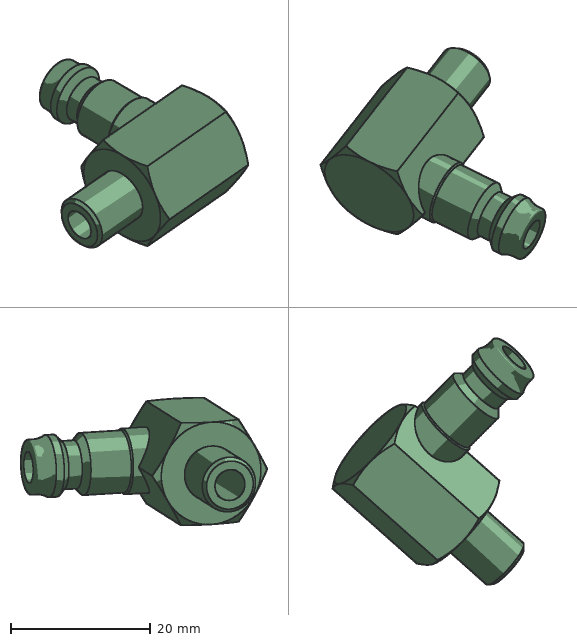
import cadquery as cq
import math


overall_length = 32.4
across_flats = 15.0
body_length = 18.0
body_back = 6.0
body_front = body_back - body_length
corner_radius = across_flats / math.sqrt(3)
end_bevel_angle = 30.0

stub_radius = 8.0 / 2
stub_length = 9.0
stub_chamfer = 0.5
bore_radius = 4.5 / 2

tip_radius = 8.0 / 2
plug_radius = 4.5
groove_radius = 3.5
collar_radius = 9.5 / 2

tip_rounding = 0.3
tip_land_end = 1.0
bulge_start = 2.8
bulge_end = 4.0
groove_start = 5.0
groove_end = 7.0
plug_start = 8.0
collar_start = 14.05
collar_chamfer = collar_radius - plug_radius
nipple_length = overall_length - corner_radius


def cylinder_along_y(radius, y_start, y_end):
    """Cylinder about the Y axis between two Y positions."""
    plane = cq.Workplane("XZ", origin=(0, y_end, 0))
    return plane.circle(radius).extrude(y_end - y_start)


def make_body():
    """Hexagonal prism with its corners turned off conically at both ends."""
    prism = (
        cq.Workplane("XZ", origin=(0, body_back, 0))
        .polygon(6, 2 * corner_radius)
        .extrude(body_length)
    )
    face_radius = across_flats / 2
    bevel_depth = (corner_radius - face_radius) * math.tan(math.radians(end_bevel_angle))
    envelope = (
        cq.Workplane("XY")
        .moveTo(0, body_front)
        .lineTo(face_radius, body_front)
        .lineTo(corner_radius, body_front + bevel_depth)
        .lineTo(corner_radius, body_back - bevel_depth)
        .lineTo(face_radius, body_back)
        .lineTo(0, body_back)
        .close()
        .revolve(360, (0, 0, 0), (0, 1, 0))
    )
    return prism.intersect(envelope)


def make_stub():
    """Plain round stub with a chamfered free end."""
    stub = cylinder_along_y(stub_radius, body_front - stub_length, body_front)
    return stub.faces("<Y").chamfer(stub_chamfer)


def make_nipple():
    """Turned nipple from its tip to the body axis, with a concave flare up to the bulge."""
    def at(station, radius):
        return (station - nipple_length, radius)

    rounding_middle = tip_rounding * (1 - math.sqrt(0.5))
    profile = (
        cq.Workplane("XY")
        .moveTo(*at(0, 0))
        .lineTo(*at(0, tip_radius - tip_rounding))
        .threePointArc(
            at(rounding_middle, tip_radius - rounding_middle),
            at(tip_rounding, tip_radius),
        )
        .lineTo(*at(tip_land_end, tip_radius))
        .tangentArcPoint(at(bulge_start, plug_radius), relative=False)
        .lineTo(*at(bulge_end, plug_radius))
        .lineTo(*at(groove_start, groove_radius))
        .lineTo(*at(groove_end, groove_radius))
        .lineTo(*at(plug_start, plug_radius))
        .lineTo(*at(collar_start, plug_radius))
        .lineTo(*at(collar_start + collar_chamfer, collar_radius))
        .lineTo(*at(nipple_length, collar_radius))
        .lineTo(*at(nipple_length, 0))
        .close()
    )
    return profile.revolve(360, (0, 0, 0), (1, 0, 0))


def make_bores():
    """Two equal blind bores that meet inside the body."""
    stub_bore = cylinder_along_y(bore_radius, body_front - stub_length, bore_radius)
    nipple_bore = (
        cq.Workplane("YZ", origin=(-nipple_length, 0, 0))
        .circle(bore_radius)
        .extrude(nipple_length)
    )
    return stub_bore.union(nipple_bore)


result = make_body().union(make_stub()).union(make_nipple()).cut(make_bores())